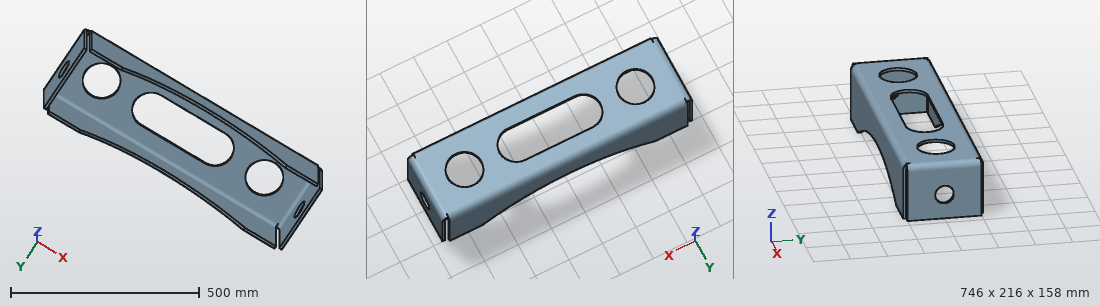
import cadquery as cq
import math

SHEET = 8.0
BEND_INNER = 10.0
BEND_OUTER = BEND_INNER + SHEET

HEIGHT = 158.0
FLAT_LENGTH = 710.0
FLAT_WIDTH = 180.0
END_FLANGE_WIDTH = 200.0

ROUND_HOLE_DIA = 100.0
ROUND_HOLE_X = 255.0
SLOT_LENGTH = 300.0
SLOT_WIDTH = 100.0
END_HOLE_DIA = 50.0
END_HOLE_Z = 68.0

ARCH_RADIUS = 500.0
ARCH_CHORD = 515.0
ARCH_RISE = ARCH_RADIUS - math.sqrt(ARCH_RADIUS**2 - (ARCH_CHORD / 2) ** 2)


def folded_flange(plane, bend_start, width):
    """Bend and flange profile, extruded symmetrically about the plane.

    The profile starts where the bend leaves the top plate and runs outward and down.
    """
    outer = bend_start + BEND_OUTER
    inner = bend_start + BEND_INNER
    bend_z = HEIGHT - BEND_OUTER
    return (
        cq.Workplane(plane)
        .moveTo(bend_start, HEIGHT)
        .radiusArc((outer, bend_z), BEND_OUTER)
        .lineTo(outer, 0)
        .lineTo(inner, 0)
        .lineTo(inner, bend_z)
        .radiusArc((bend_start, HEIGHT - SHEET), -BEND_INNER)
        .close()
        .extrude(width / 2, both=True)
    )


def flange_pair(plane, bend_start, width):
    """A flange and its copy turned half a revolution about Z."""
    flange = folded_flange(plane, bend_start, width)
    return flange.union(flange.rotate((0, 0, 0), (0, 0, 1), 180))


def top_plate():
    return (
        cq.Workplane("XY")
        .workplane(offset=HEIGHT - SHEET)
        .rect(FLAT_LENGTH, FLAT_WIDTH)
        .extrude(SHEET)
    )


def top_openings():
    """Central slot with a round hole on either side, through the top plate only."""
    base = cq.Workplane("XY").workplane(offset=HEIGHT - SHEET)
    slot = base.slot2D(SLOT_LENGTH, SLOT_WIDTH).extrude(SHEET)
    holes = (
        base.pushPoints([(-ROUND_HOLE_X, 0), (ROUND_HOLE_X, 0)])
        .circle(ROUND_HOLE_DIA / 2)
        .extrude(SHEET)
    )
    return slot.union(holes)


def arch_relief():
    """Circular segment running across both long flanges."""
    return (
        cq.Workplane("XZ")
        .moveTo(-ARCH_CHORD / 2, 0)
        .threePointArc((0, ARCH_RISE), (ARCH_CHORD / 2, 0))
        .close()
        .extrude(FLAT_WIDTH / 2 + BEND_OUTER, both=True)
    )


def end_hole():
    """Round hole running through both end flanges."""
    return (
        cq.Workplane("YZ")
        .center(0, END_HOLE_Z)
        .circle(END_HOLE_DIA / 2)
        .extrude(FLAT_LENGTH / 2 + BEND_OUTER, both=True)
    )


long_flanges = flange_pair("YZ", FLAT_WIDTH / 2, FLAT_LENGTH)
end_flanges = flange_pair("XZ", FLAT_LENGTH / 2, END_FLANGE_WIDTH)

result = (
    top_plate()
    .union(long_flanges.cut(arch_relief()))
    .union(end_flanges.cut(end_hole()))
    .cut(top_openings())
)